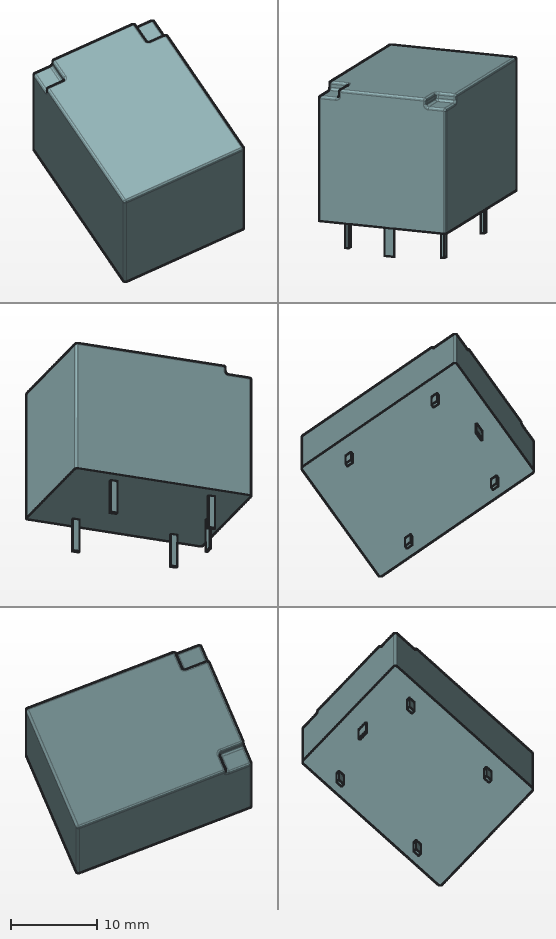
import cadquery as cq

length = 22.0
width = 16.02
total_height = 20.0
pin_length = 4.0
body_height = total_height - pin_length
edge_radius = 0.3

recess_length = 3.2
recess_width = 2.5
recess_depth = 1.0

centre_pin_thickness = 0.2
centre_pin_width = 1.2
centre_pin_from_end = 2.3

side_pin_length = 0.8
side_pin_thickness = 0.4
side_pin_offset = 6.0
near_pair_from_end = 4.3
pair_spacing = 12.2

end_x = -length / 2


def make_housing():
    """Box with two corner recesses, rounded on every edge except around the flat underside."""
    housing = cq.Workplane("XY").box(length, width, body_height, centered=(True, True, False))
    for side in (-1, 1):
        recess = (
            cq.Workplane("XY")
            .box(2 * recess_length, 2 * recess_width, 2 * recess_depth)
            .translate((end_x, side * width / 2, body_height))
        )
        housing = housing.cut(recess)
    return housing.edges("not(<Z)").fillet(edge_radius)


def make_pin(x, y, size_x, size_y):
    """Straight rectangular pin hanging from the underside."""
    return (
        cq.Workplane("XY")
        .center(x, y)
        .rect(size_x, size_y)
        .extrude(-pin_length)
    )


result = make_housing()

result = result.union(
    make_pin(end_x + centre_pin_from_end, 0, centre_pin_thickness, centre_pin_width)
)

near_pair_x = end_x + near_pair_from_end
for pair_x in (near_pair_x, near_pair_x + pair_spacing):
    for side in (-1, 1):
        result = result.union(
            make_pin(pair_x, side * side_pin_offset, side_pin_length, side_pin_thickness)
        )